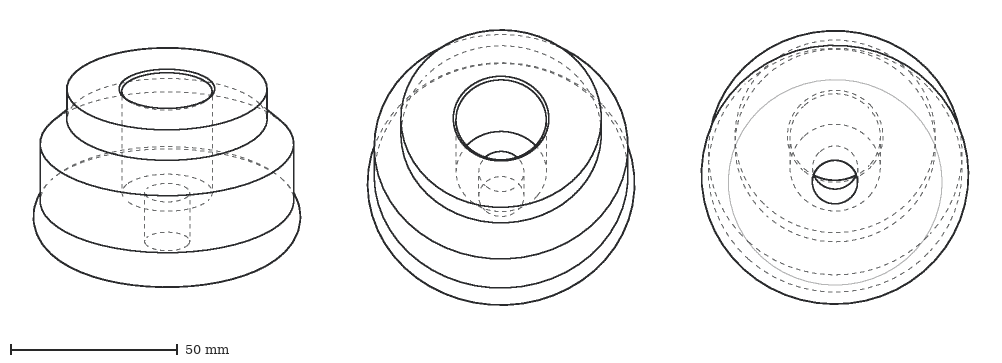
import cadquery as cq
import math

total_height = 50.0

base_radius = 40.0
base_thickness = 16.0
bolt_hole_radius = 13.5 / 2

neck_radius = 30.0
neck_height = 10.0
body_radius = 38.0
bore_radius = 27.0 / 2
bore_chamfer = 0.8

edge_radius = base_thickness / 2
edge_center_radius = base_radius - edge_radius
edge_center_z = base_thickness / 2
wall_offset = body_radius - edge_center_radius
wall_foot_z = edge_center_z + math.sqrt(edge_radius**2 - wall_offset**2)

shoulder_top_z = total_height - neck_height
shoulder_bottom_z = shoulder_top_z - (body_radius - neck_radius)


def revolve_about_z(profile):
    """Turn a closed profile drawn in the XZ plane about the Z axis."""
    return profile.revolve(360, (0, 0, 0), (0, 1, 0))


def make_base():
    """Round-edged disc with a central bolt hole."""
    profile = (
        cq.Workplane("XZ")
        .moveTo(bolt_hole_radius, 0)
        .lineTo(edge_center_radius, 0)
        .threePointArc((base_radius, edge_center_z), (edge_center_radius, base_thickness))
        .lineTo(bolt_hole_radius, base_thickness)
        .close()
    )
    return revolve_about_z(profile)


def make_housing():
    """Stepped housing whose foot fits over the rounded edge of the base."""
    foot_arc_angle = math.atan2(wall_foot_z - edge_center_z, wall_offset)
    middle_angle = (foot_arc_angle + math.pi / 2) / 2
    foot_arc_middle = (
        edge_center_radius + edge_radius * math.cos(middle_angle),
        edge_center_z + edge_radius * math.sin(middle_angle),
    )
    profile = (
        cq.Workplane("XZ")
        .moveTo(bore_radius, base_thickness)
        .lineTo(edge_center_radius, base_thickness)
        .threePointArc(foot_arc_middle, (body_radius, wall_foot_z))
        .lineTo(body_radius, shoulder_bottom_z)
        .lineTo(neck_radius, shoulder_top_z)
        .lineTo(neck_radius, total_height)
        .lineTo(bore_radius + bore_chamfer, total_height)
        .lineTo(bore_radius, total_height - bore_chamfer)
        .close()
    )
    return revolve_about_z(profile)


base = make_base()
housing = make_housing()

result = cq.Compound.makeCompound([base.val(), housing.val()])